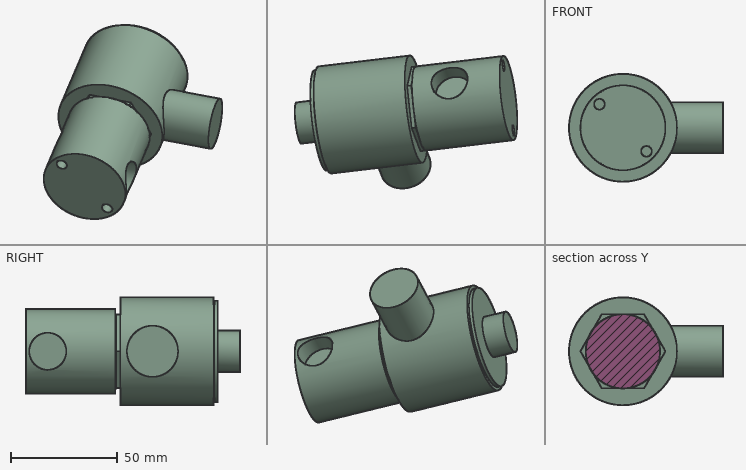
import cadquery as cq

HEAD_LENGTH = 42.1
HEAD_NECK_LENGTH = 0.4
HEX_END = 44.4
HOUSING_END = 88.1
FLANGE_NECK_LENGTH = 0.4
FLANGE_END = 90.2
OVERALL_LENGTH = 100.6
OVERALL_WIDTH = 72.4

HEAD_DIAMETER = 39.9
HEAD_NECK_DIAMETER = 35.0
HEX_ACROSS_CORNERS = HEAD_DIAMETER
SIDE_HOLE_DIAMETER = 17.4
SIDE_HOLE_DEPTH = 10.1
LEFT_HOLE_Y = 24.0
RIGHT_HOLE_Y = 10.3
PIN_HOLE_DIAMETER = 5.0
PIN_HOLE_DEPTH = 10.1
PIN_HOLE_OFFSET = 11.1

HOUSING_DIAMETER = 50.8
FLANGE_NECK_DIAMETER = 44.0
FLANGE_DIAMETER = 47.7
END_STUB_DIAMETER = 19.6
SIDE_STUB_DIAMETER = 24.0
SIDE_STUB_Y = 59.5
SIDE_STUB_REACH = OVERALL_WIDTH - HOUSING_DIAMETER / 2


def section_plane(y):
    """Plane across the main axis at station y, with its normal along +Y."""
    return cq.Workplane(cq.Plane(origin=(0, y, 0), xDir=(1, 0, 0), normal=(0, 1, 0)))


def disc(diameter, start, end):
    """Cylinder on the main axis between two stations."""
    return section_plane(start).circle(diameter / 2).extrude(end - start)


def cross_cylinder(diameter, y, start_x, end_x):
    """Cylinder parallel to X, crossing the main axis at station y."""
    plane = cq.Plane(origin=(start_x, y, 0), xDir=(0, 1, 0), normal=(1, 0, 0))
    return cq.Workplane(plane).circle(diameter / 2).extrude(end_x - start_x)


def make_head():
    """Round head with a hexagon behind it, two blind side holes and two pin holes."""
    hex_start = HEAD_LENGTH + HEAD_NECK_LENGTH
    hexagon = section_plane(hex_start).polygon(6, HEX_ACROSS_CORNERS).extrude(HEX_END - hex_start)
    head = disc(HEAD_DIAMETER, 0, HEAD_LENGTH)
    head = head.union(disc(HEAD_NECK_DIAMETER, HEAD_LENGTH, hex_start)).union(hexagon)

    radius = HEAD_DIAMETER / 2
    for side, y in ((-1, LEFT_HOLE_Y), (1, RIGHT_HOLE_Y)):
        floor_x = side * (radius - SIDE_HOLE_DEPTH)
        head = head.cut(cross_cylinder(SIDE_HOLE_DIAMETER, y, floor_x, side * radius))

    pin_centers = [(-PIN_HOLE_OFFSET, PIN_HOLE_OFFSET), (PIN_HOLE_OFFSET, -PIN_HOLE_OFFSET)]
    for x, z in pin_centers:
        pin_hole = disc(PIN_HOLE_DIAMETER, 0, PIN_HOLE_DEPTH).translate((x, 0, z))
        head = head.cut(pin_hole)
    return head


def make_housing():
    """Round housing with a side stub, and a flange and end stub at its +Y end."""
    flange_start = HOUSING_END + FLANGE_NECK_LENGTH
    housing = disc(HOUSING_DIAMETER, HEX_END, HOUSING_END)
    housing = housing.union(disc(FLANGE_NECK_DIAMETER, HOUSING_END, flange_start))
    housing = housing.union(disc(FLANGE_DIAMETER, flange_start, FLANGE_END))
    housing = housing.union(disc(END_STUB_DIAMETER, FLANGE_END, OVERALL_LENGTH))
    return housing.union(cross_cylinder(SIDE_STUB_DIAMETER, SIDE_STUB_Y, 0, SIDE_STUB_REACH))


head = make_head()
housing = make_housing()
result = cq.Compound.makeCompound([head.val(), housing.val()])